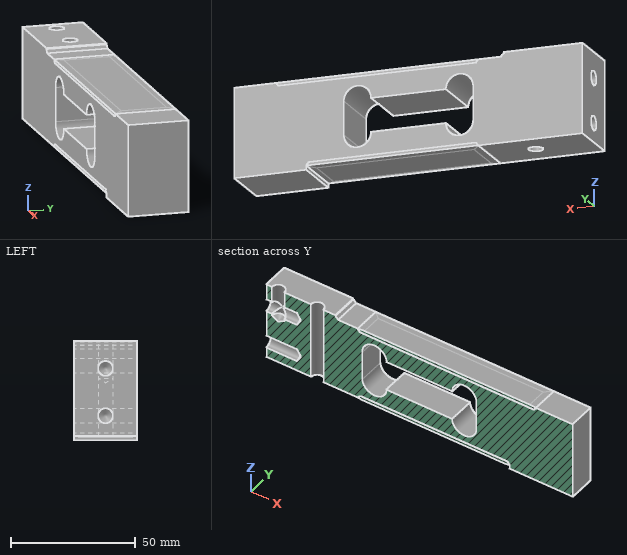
import cadquery as cq
import math

length = 150.0
width = 25.4
height = 40.0
step = 1.8
top_step_x = 33.9
step_chamfer = 1.4
bottom_step_x = 119.0
upper_face = height - step
lower_face = step

window_start = 47.1
window_end = 102.8
window_height = 26.0
lobe_width = 11.7
lobe_radius = lobe_width / 2
neck_height = window_height - lobe_width

cover_start = 44.8
upper_cover_end = 132.0
lower_cover_end = bottom_step_x
recess_depth = 1.4
recess_slope = 1.0
crown_rise = 0.3
crown_inset = 3.2
crown_radius = (crown_inset**2 + crown_rise**2) / (2 * crown_rise)

hole_diameter = 6.0
hole_pitch = 19.0
top_hole_x = 5.8
blind_hole_depth = 15.0
end_hole_z = 9.9
drill_tip_angle = 118.0


def extrude_across(profile):
    """Extrude an XZ profile over the beam width, centred on Y = 0."""
    return profile.extrude(width / 2, both=True)


def drill(start, direction, depth):
    """Cylinder with a conical tip, for cutting a blind drilled hole."""
    radius = hole_diameter / 2
    tip = radius / math.tan(math.radians(drill_tip_angle / 2))
    shank = cq.Solid.makeCylinder(radius, depth, start, direction)
    cone = cq.Solid.makeCone(radius, 0, tip, start + direction * depth, direction)
    return shank.fuse(cone)


def crowned_profile(plane, start, end):
    """Block section with base at -recess_depth and an arc-bordered crown above 0."""
    half_angle = math.asin(crown_inset / crown_radius) / 2
    mid_run = crown_radius * math.sin(half_angle)
    mid_rise = crown_rise - crown_radius * (1 - math.cos(half_angle))
    flat_start = start + crown_inset
    flat_end = end - crown_inset
    return (
        cq.Workplane(plane)
        .moveTo(start, -recess_depth)
        .lineTo(start, 0)
        .threePointArc((flat_start - mid_run, mid_rise), (flat_start, crown_rise))
        .lineTo(flat_end, crown_rise)
        .threePointArc((flat_end + mid_run, mid_rise), (end, 0))
        .lineTo(end, -recess_depth)
        .close()
    )


def recess_shape(end):
    """Trapezoidal filling of a cover recess, open at Z = 0."""
    return extrude_across(
        cq.Workplane("XZ").polyline([
            (cover_start, 0),
            (cover_start + recess_slope, -recess_depth),
            (end - recess_slope, -recess_depth),
            (end, 0),
        ]).close()
    )


def make_cover(end):
    """Cover facing up, its outer edge lying on Z = 0."""
    along = extrude_across(crowned_profile("XZ", cover_start, end))
    across = crowned_profile("YZ", -width / 2, width / 2).extrude(length)
    crown_space = cq.Workplane("XY").box(
        length, width, crown_rise, centered=(False, True, False)
    )
    crown = along.intersect(across).intersect(crown_space)
    return recess_shape(end).union(crown)


def turn_down(shape):
    """Flip an upward-facing shape to face down."""
    return shape.mirror("XY")


def make_window():
    """Two upright slots joined by a straight neck."""
    mid_z = height / 2
    left_lobe = window_start + lobe_radius
    right_lobe = window_end - lobe_radius
    lobes = extrude_across(
        cq.Workplane("XZ")
        .pushPoints([(left_lobe, mid_z), (right_lobe, mid_z)])
        .slot2D(window_height, lobe_width, 90)
    )
    neck = extrude_across(
        cq.Workplane("XZ")
        .center((left_lobe + right_lobe) / 2, mid_z)
        .rect(right_lobe - left_lobe, neck_height)
    )
    return lobes.union(neck)


def make_beam():
    """Stepped load cell beam with window, cover recesses and mounting holes."""
    beam = extrude_across(
        cq.Workplane("XZ").polyline([
            (0, lower_face),
            (bottom_step_x, lower_face),
            (bottom_step_x, 0),
            (length, 0),
            (length, upper_face),
            (top_step_x + step_chamfer, upper_face),
            (top_step_x, upper_face + step_chamfer),
            (top_step_x, height),
            (0, height),
        ]).close()
    )
    beam = beam.cut(make_window())
    beam = beam.cut(recess_shape(upper_cover_end).translate((0, 0, upper_face)))
    beam = beam.cut(turn_down(recess_shape(lower_cover_end)).translate((0, 0, lower_face)))

    beam = beam.cut(drill(cq.Vector(top_hole_x, 0, height), cq.Vector(0, 0, -1), blind_hole_depth))
    through_hole = (
        cq.Workplane("XY")
        .center(top_hole_x + hole_pitch, 0)
        .circle(hole_diameter / 2)
        .extrude(height)
    )
    beam = beam.cut(through_hole)

    for z in (end_hole_z, end_hole_z + hole_pitch):
        beam = beam.cut(drill(cq.Vector(0, 0, z), cq.Vector(1, 0, 0), blind_hole_depth))
    return beam


beam = make_beam()
upper_cover = make_cover(upper_cover_end).translate((0, 0, upper_face))
lower_cover = turn_down(make_cover(lower_cover_end)).translate((0, 0, lower_face))

result = cq.Compound.makeCompound([
    *beam.solids().vals(),
    *upper_cover.solids().vals(),
    *lower_cover.solids().vals(),
])